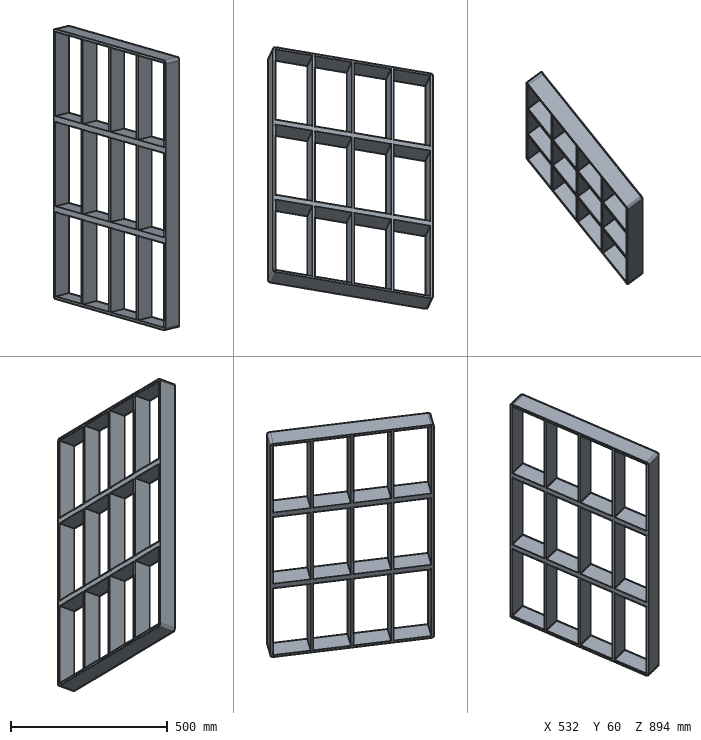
import cadquery as cq

width = 532.0
depth = 60.0
height = 894.0
corner_radius = 10.0

columns = 4
rows = 3
border = 9.0
upright = 9.0
shelf = 20.0

opening_width = (width - 2 * border - (columns - 1) * upright) / columns
opening_height = (height - 2 * border - (rows - 1) * shelf) / rows


def outer_block():
    """Solid panel with its four depth-wise edges rounded."""
    return cq.Workplane("XY").box(width, depth, height).edges("|Y").fillet(corner_radius)


def openings():
    """Rectangular openings that pass through the whole depth."""
    return (
        cq.Workplane("XZ")
        .rarray(opening_width + upright, opening_height + shelf, columns, rows)
        .rect(opening_width, opening_height)
        .extrude(depth, both=True)
    )


result = outer_block().cut(openings())